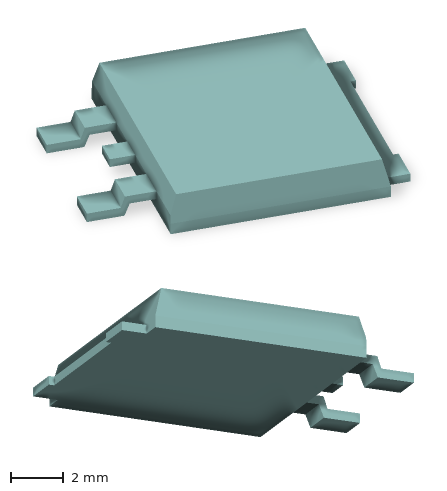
import cadquery as cq

overall_length = 12.58
overall_height = 1.7

body_width = 10.0
body_length = 8.78
standoff = 0.03
side_taper_start = 0.5
front_taper_start = 0.86
side_inset = 0.14
front_inset = 0.26
back_inset = 0.31

tab_width = 8.38
tab_length = 1.03
tab_thickness = 0.35
notch_width = 5.4
notch_depth = 0.22

lead_pitch = 5.08
lead_width = 1.28
lead_thickness = 0.35
lead_length = overall_length - body_length - tab_length
foot_thickness = standoff + tab_thickness
bend_top_start = 1.25
bend_top_end = 1.42
bend_bottom_start = 1.06
bend_bottom_end = 1.27
stub_width = 1.0
stub_length = 1.01


def extrude_along_x(outline, width, center_x=0.0):
    """Extrude a (Y, Z) outline to a width centred on center_x."""
    solid = cq.Workplane("YZ").polyline(outline).close().extrude(width / 2, both=True)
    return solid.translate((center_x, 0, 0))


def make_body():
    """Intersect the side and front profiles to give four leaning faces."""
    side_profile = [
        (0, standoff),
        (body_length, standoff),
        (body_length, side_taper_start),
        (body_length - back_inset, overall_height),
        (front_inset, overall_height),
        (0, front_taper_start),
    ]
    half_width = body_width / 2
    half_top = half_width - side_inset
    front_profile = [
        (-half_width, standoff),
        (half_width, standoff),
        (half_width, side_taper_start),
        (half_top, overall_height),
        (-half_top, overall_height),
        (-half_width, side_taper_start),
    ]
    across = extrude_along_x(side_profile, body_width)
    along = cq.Workplane("XZ").polyline(front_profile).close().extrude(-body_length)
    return across.intersect(along)


def make_tab():
    """Flat tab with a shallow notch in its free edge."""
    tab_end = body_length + tab_length
    half_tab = tab_width / 2
    half_notch = notch_width / 2
    outline = [
        (-half_tab, body_length),
        (half_tab, body_length),
        (half_tab, tab_end),
        (half_notch, tab_end),
        (half_notch, tab_end - notch_depth),
        (-half_notch, tab_end - notch_depth),
        (-half_notch, tab_end),
        (-half_tab, tab_end),
    ]
    return cq.Workplane("XY", origin=(0, 0, standoff)).polyline(outline).close().extrude(tab_thickness)


def make_bent_lead(center_x):
    """Lead that steps down from the body to its foot."""
    underside = front_taper_start - lead_thickness
    outline = [
        (0, front_taper_start),
        (-bend_top_start, front_taper_start),
        (-bend_top_end, foot_thickness),
        (-lead_length, foot_thickness),
        (-lead_length, 0),
        (-bend_bottom_end, 0),
        (-bend_bottom_start, underside),
        (0, underside),
    ]
    return extrude_along_x(outline, lead_width, center_x)


def make_stub_lead():
    """Short straight centre lead."""
    return cq.Workplane("XY").box(stub_width, stub_length, lead_thickness).translate(
        (0, -stub_length / 2, front_taper_start - lead_thickness / 2)
    )


result = make_body().union(make_tab()).union(make_stub_lead())
for side in (-1, 1):
    result = result.union(make_bent_lead(side * lead_pitch / 2))